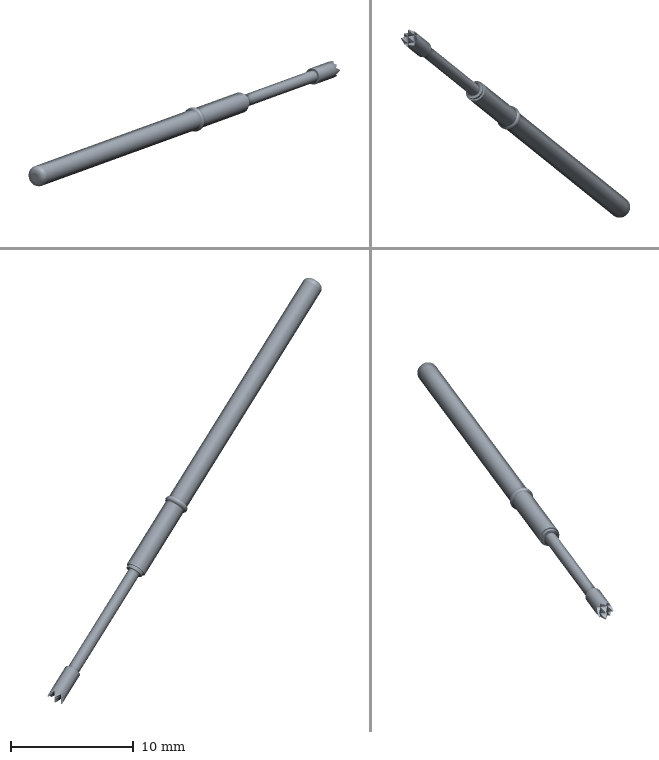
import cadquery as cq
import math

TOTAL_LENGTH = 41.8

BARREL_LENGTH = 29.0
BARREL_RADIUS = 1.7 / 2
REAR_ROUNDING = 0.48
MOUTH_STEP_LENGTH = 0.25
MOUTH_STEP_RADIUS = 1.45 / 2

RING_RADIUS = 2.0 / 2
RING_LENGTH = 0.5
RING_CENTER_Y = 22.25

SHAFT_RADIUS = 1.0 / 2
HEAD_RADIUS = 1.36 / 2
HEAD_LENGTH = 2.95

GROOVE_ANGLE = 60
GROOVE_PITCH = 0.6


def rod(radius, start_y, end_y):
    """Cylinder on the Y axis between two stations."""
    length = end_y - start_y
    return cq.Workplane("XZ", origin=(0, start_y, 0)).circle(radius).extrude(-length)


def make_barrel():
    """Barrel with a rounded rear end and a narrower step at its mouth."""
    step_start = BARREL_LENGTH - MOUTH_STEP_LENGTH
    tube = rod(BARREL_RADIUS, 0, step_start).faces("<Y").edges().fillet(REAR_ROUNDING)
    return tube.union(rod(MOUTH_STEP_RADIUS, step_start, BARREL_LENGTH))


def make_ring():
    """Bead with an arc-shaped section, solid through to the axis."""
    rear_y = RING_CENTER_Y - RING_LENGTH / 2
    front_y = RING_CENTER_Y + RING_LENGTH / 2
    section = (
        cq.Workplane("XY")
        .moveTo(0, rear_y)
        .lineTo(BARREL_RADIUS, rear_y)
        .threePointArc((RING_RADIUS, RING_CENTER_Y), (BARREL_RADIUS, front_y))
        .lineTo(0, front_y)
        .close()
    )
    return section.revolve(360, (0, 0, 0), (0, 1, 0))


def make_groove(offset):
    """V groove running along Z, centred at X = offset and open at the head face."""
    half_width = GROOVE_PITCH / 2
    depth = half_width / math.tan(math.radians(GROOVE_ANGLE / 2))
    profile = [
        (offset - half_width, TOTAL_LENGTH),
        (offset, TOTAL_LENGTH - depth),
        (offset + half_width, TOTAL_LENGTH),
    ]
    return cq.Workplane("XY").polyline(profile).close().extrude(HEAD_RADIUS, both=True)


def make_plunger():
    """Shaft and larger head, with the head face serrated along X and Z."""
    head_start = TOTAL_LENGTH - HEAD_LENGTH
    shaft = rod(SHAFT_RADIUS, BARREL_LENGTH, head_start)
    plunger = shaft.union(rod(HEAD_RADIUS, head_start, TOTAL_LENGTH))
    for offset in (-GROOVE_PITCH / 2, GROOVE_PITCH / 2):
        groove = make_groove(offset)
        crossing_groove = groove.rotate((0, 0, 0), (0, 1, 0), 90)
        plunger = plunger.cut(groove).cut(crossing_groove)
    return plunger


result = make_barrel().union(make_ring()).union(make_plunger())